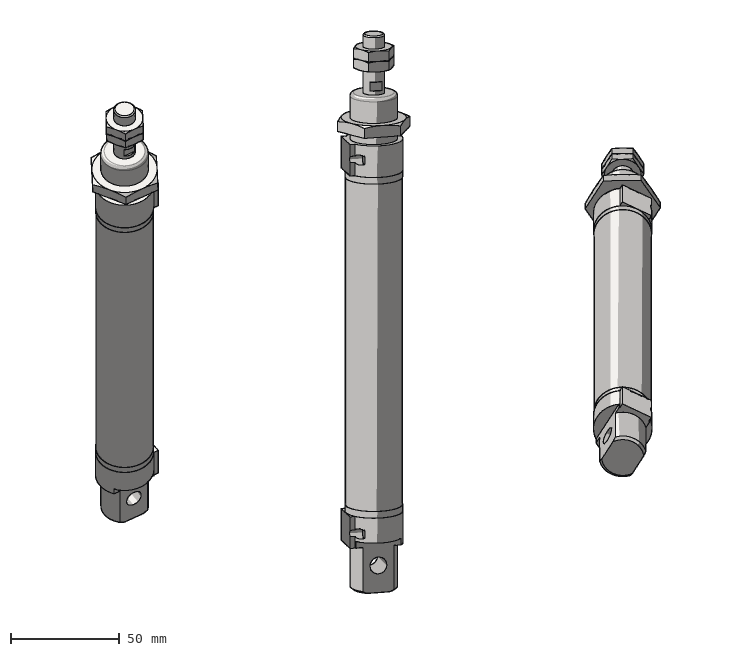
import cadquery as cq
import math

total_length = 264.0

body_diameter = 27.0
band_diameter = 26.7
tube_diameter = 26.5
end_diameter = 22.0
end_edge_diameter = 19.3
end_chamfer_height = 1.0
collar_fillet = 1.5
end_length = 22.0
collar_top = 236.0
cap_length = 15.0
band_width = 3.2

tongue_thickness = 16.0
tongue_flat_length = 25.0
pin_hole_diameter = 8.0
pin_hole_height = 13.0

pad_width = 15.3
screw_hole_diameter = 4.8
screw_hole_offset = 9.5
screw_hole_floor = 7.5
screw_hole_inset = 7.0

rod_diameter = 10.0
rod_tip_diameter = 8.7
wrench_flat_width = 8.2
wrench_flat_bottom = 237.9
wrench_flat_length = 4.2

rod_nut_flats = 17.0
rod_nut_thickness = 5.0
rod_nut_bottom = 248.0
rod_nut_count = 2

mounting_nut_corners = 34.5
mounting_nut_thickness = 5.5
mounting_nut_bottom = 218.5

nut_sides = 6
nut_chamfer_angle = 20.0

body_radius = body_diameter / 2
body_bottom = end_length
body_top = collar_top - end_length
lower_cap_top = body_bottom + cap_length
upper_cap_bottom = body_top - cap_length
flats_per_corners = math.cos(math.pi / nut_sides)
mounting_nut_flats = mounting_nut_corners * flats_per_corners


def cylinder(diameter, bottom, top):
    """Upright cylinder on the Z axis between two heights."""
    return cq.Workplane("XY").workplane(offset=bottom).circle(diameter / 2).extrude(top - bottom)


def slab(x_size, y_size, bottom, top):
    """Rectangular block centred on the Z axis between two heights."""
    return cq.Workplane("XY").workplane(offset=bottom).rect(x_size, y_size).extrude(top - bottom)


def outside_flats(width_across, diameter, bottom, top):
    """Material to remove from a round bar to leave two flats facing +X and -X."""
    clear_size = 2 * diameter
    around = slab(clear_size, clear_size, bottom, top)
    return around.cut(slab(width_across, clear_size, bottom, top))


def body_core():
    """Turned body: lower end, tube with a crimp band at each cap and threaded collar."""
    end_radius = end_diameter / 2
    edge_radius = end_edge_diameter / 2
    band_radius = band_diameter / 2
    tube_radius = tube_diameter / 2
    profile = (
        cq.Workplane("XZ")
        .moveTo(0, 0)
        .lineTo(edge_radius, 0)
        .lineTo(end_radius, end_chamfer_height)
        .lineTo(end_radius, body_bottom)
        .lineTo(body_radius, body_bottom)
        .lineTo(body_radius, lower_cap_top)
        .lineTo(band_radius, lower_cap_top)
        .lineTo(band_radius, lower_cap_top + band_width)
        .lineTo(tube_radius, lower_cap_top + band_width)
        .lineTo(tube_radius, upper_cap_bottom - band_width)
        .lineTo(band_radius, upper_cap_bottom - band_width)
        .lineTo(band_radius, upper_cap_bottom)
        .lineTo(body_radius, upper_cap_bottom)
        .lineTo(body_radius, body_top)
        .lineTo(end_radius, body_top)
        .lineTo(end_radius, collar_top - collar_fillet)
        .radiusArc((end_radius - collar_fillet, collar_top), -collar_fillet)
        .lineTo(0, collar_top)
        .close()
    )
    return profile.revolve(360, (0, 0, 0), (0, 1, 0))


def port_pad(bottom):
    """Flat-topped pad that rises to the body radius on the +Y side of an end cap."""
    pad = cq.Workplane("XY").box(pad_width, body_radius, cap_length, centered=(True, False, False))
    return pad.translate((0, 0, bottom))


def screw_hole(height):
    """Blind hole parallel to Y that breaks out through the -X side of a pad."""
    hole = cq.Workplane("XZ").circle(screw_hole_diameter / 2).extrude(screw_hole_floor - body_radius)
    return hole.translate((-screw_hole_offset, screw_hole_floor, height))


def tongue_cuts():
    """Material outside the two flats of the clevis tongue, and its pin hole."""
    flats = outside_flats(tongue_thickness, body_diameter, 0, tongue_flat_length)
    pin_hole = (
        cq.Workplane("YZ")
        .center(0, pin_hole_height)
        .circle(pin_hole_diameter / 2)
        .extrude(tongue_thickness, both=True)
    )
    return flats.union(pin_hole)


def make_body():
    """Cylinder body with its port pads, screw holes, clevis tongue and rod socket."""
    body = body_core()
    for pad_bottom in (body_bottom, upper_cap_bottom):
        body = body.union(port_pad(pad_bottom))
    for hole_height in (body_bottom + screw_hole_inset, body_top - screw_hole_inset):
        body = body.cut(screw_hole(hole_height))
    rod_socket = cylinder(rod_diameter, body_top, collar_top)
    return body.cut(tongue_cuts()).cut(rod_socket)


def make_rod():
    """Piston rod from the foot of the collar to the chamfered tip, with two wrench flats."""
    tip_chamfer = (rod_diameter - rod_tip_diameter) / 2
    rod = cylinder(rod_diameter, body_top, total_length).faces(">Z").chamfer(tip_chamfer)
    flat_top = wrench_flat_bottom + wrench_flat_length
    return rod.cut(outside_flats(wrench_flat_width, rod_diameter, wrench_flat_bottom, flat_top))


def make_nut(flats, thickness, bore, bottom, chamfer_bottom):
    """Hexagon nut with flats facing +X and -X and its corners turned off conically.

    The top is always chamfered; the bottom only when asked, and otherwise stays a full hexagon.
    """
    face_radius = flats / 2
    corner_radius = face_radius / flats_per_corners
    drop = (corner_radius - face_radius) * math.tan(math.radians(nut_chamfer_angle))
    hexagon = (
        cq.Workplane("XY")
        .polygon(nut_sides, 2 * corner_radius)
        .extrude(thickness)
        .rotate((0, 0, 0), (0, 0, 1), 90)
    )
    outline = cq.Workplane("XZ").moveTo(0, 0)
    if chamfer_bottom:
        outline = outline.lineTo(face_radius, 0).lineTo(corner_radius, drop)
    else:
        outline = outline.lineTo(corner_radius, 0)
    turned_blank = (
        outline.lineTo(corner_radius, thickness - drop)
        .lineTo(face_radius, thickness)
        .lineTo(0, thickness)
        .close()
        .revolve(360, (0, 0, 0), (0, 1, 0))
    )
    nut = hexagon.intersect(turned_blank).cut(cylinder(bore, 0, thickness))
    return nut.translate((0, 0, bottom))


def make_rod_nuts():
    """Stack of nuts on the rod; only the lowest one is chamfered on both faces."""
    nuts = []
    for index in range(rod_nut_count):
        bottom = rod_nut_bottom + index * rod_nut_thickness
        is_lowest = index == 0
        nuts.append(make_nut(rod_nut_flats, rod_nut_thickness, rod_diameter, bottom, is_lowest))
    return nuts


body = make_body()
rod = make_rod()
rod_nuts = make_rod_nuts()
mounting_nut = make_nut(
    mounting_nut_flats, mounting_nut_thickness, end_diameter, mounting_nut_bottom, False
)

result = cq.Compound.makeCompound(
    [body.val(), rod.val(), *[nut.val() for nut in rod_nuts], mounting_nut.val()]
)